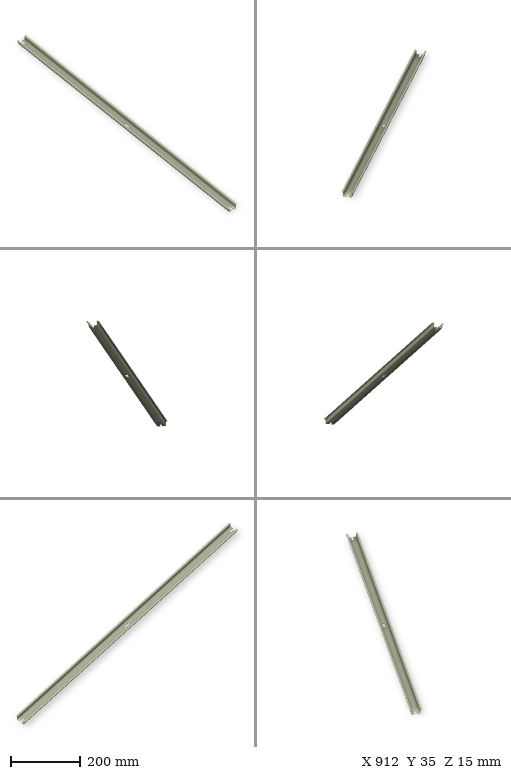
import cadquery as cq

length = 912.0
width = 35.0
height = 15.0
sheet = 1.5

channel_width = 27.0
inner_bend_radius = 0.5
outer_bend_radius = inner_bend_radius + sheet

slot_length = 19.0
slot_width = 6.2
slot_pitch = 450.0

half_length = length / 2
half_width = width / 2
half_outer = channel_width / 2
half_inner = half_outer - sheet
top = height / 2
bottom = -height / 2

pick_margin = sheet / 10


def hat_section():
    """Sharp-cornered hat outline, extruded along X."""
    right_half = [
        (half_inner, bottom + sheet),
        (half_inner, top),
        (half_width, top),
        (half_width, top - sheet),
        (half_outer, top - sheet),
        (half_outer, bottom),
    ]
    left_half = [(-y, z) for y, z in reversed(right_half)]
    outline = right_half + left_half
    return cq.Workplane("YZ").polyline(outline).close().extrude(half_length, both=True)


def bend_edges(y, z):
    """Select the lengthwise edges of one bend on both side walls."""

    def edge_at(side_y):
        return cq.selectors.BoxSelector(
            (-half_length, side_y - pick_margin, z - pick_margin),
            (half_length, side_y + pick_margin, z + pick_margin),
        )

    return edge_at(y) + edge_at(-y)


def round_bends(rail):
    """Bend the sheet: concentric inner and outer radii at floor and flanges."""
    inner = bend_edges(half_inner, bottom + sheet) + bend_edges(half_outer, top - sheet)
    outer = bend_edges(half_outer, bottom) + bend_edges(half_inner, top)
    rail = rail.edges(inner).fillet(inner_bend_radius)
    return rail.edges(outer).fillet(outer_bend_radius)


def floor_slots():
    """Slots at mid length and near both ends, where they run out of the rail."""
    return (
        cq.Workplane("XY", origin=(0, 0, bottom))
        .pushPoints([(slot_x, 0) for slot_x in (-slot_pitch, 0, slot_pitch)])
        .slot2D(slot_length, slot_width)
        .extrude(sheet)
    )


result = round_bends(hat_section()).cut(floor_slots())